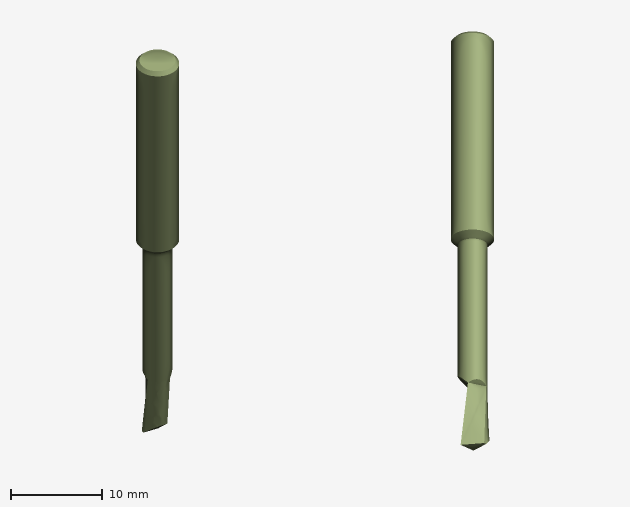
import cadquery as cq
import math

total_length = 50.8
shank_diameter = 4.8
shank_radius = shank_diameter / 2
shank_end_z = 26.1
neck_diameter = 3.3
neck_radius = neck_diameter / 2
shoulder_end_z = shank_end_z - (shank_radius - neck_radius)
top_chamfer = 0.4

head_top_z = 7.6
tip_radius = 1.95
head_twist = 25.0
flank_angle = 84.0
end_rise_x = 0.04
end_rise_y = 0.08
relief_start_x = 0.15
relief_top_z = 1.8
clearance = 1.0


def polar(radius, angle):
    """Point at a radius and an angle in degrees."""
    return (radius * math.cos(math.radians(angle)), radius * math.sin(math.radians(angle)))


def head_section(radius, turn, z):
    """Half disc, flat on its rake side, with a flat flank next to the tip."""
    tip_angle = 180 + turn
    heel_angle = tip_angle + flank_angle
    back_angle = tip_angle + 180
    middle_angle = (heel_angle + back_angle) / 2
    return (
        cq.Workplane("XY", origin=(0, 0, z))
        .moveTo(*polar(radius, tip_angle))
        .lineTo(*polar(radius, heel_angle))
        .threePointArc(polar(radius, middle_angle), polar(radius, back_angle))
        .close()
        .val()
    )


def ramp_cutter(offset, normal_angle):
    """Wedge leaving a 45 degree ramp from a head face up to the neck surface."""
    outer = neck_radius + clearance
    return (
        cq.Workplane("XZ")
        .polyline([
            (offset, head_top_z),
            (outer, head_top_z + outer - offset),
            (outer, head_top_z - clearance),
            (offset, head_top_z - clearance),
        ])
        .close()
        .extrude(outer, both=True)
        .rotate((0, 0, 0), (0, 0, 1), normal_angle)
    )


def end_cutter():
    """Solid below the sloping end face and the steeper back relief."""
    reach = tip_radius + clearance
    relief_slope = relief_top_z / (tip_radius - relief_start_x)

    def profile(y):
        rise = -end_rise_y * y
        relief_start_z = end_rise_x * (relief_start_x + tip_radius)
        points = [
            (-reach, -end_rise_x * clearance + rise),
            (relief_start_x, relief_start_z + rise),
            (reach, relief_start_z + relief_slope * (reach - relief_start_x) + rise),
            (reach, -clearance),
            (-reach, -clearance),
        ]
        return cq.Wire.makePolygon([cq.Vector(x, y, z) for x, z in points], close=True)

    return cq.Workplane(cq.Solid.makeLoft([profile(-reach), profile(reach)], True))


shank_and_neck = (
    cq.Workplane("XZ")
    .polyline([
        (0, head_top_z),
        (neck_radius, head_top_z),
        (neck_radius, shoulder_end_z),
        (shank_radius, shank_end_z),
        (shank_radius, total_length - top_chamfer),
        (shank_radius - top_chamfer, total_length),
        (0, total_length),
    ])
    .close()
    .revolve(360, (0, 0, 0), (0, 1, 0))
)

flank_offset = neck_radius * math.cos(math.radians(flank_angle / 2))
rake_ramp = ramp_cutter(0, 90 + head_twist)
flank_ramp = ramp_cutter(flank_offset, 180 + head_twist + flank_angle / 2)
shank_and_neck = shank_and_neck.cut(rake_ramp).cut(flank_ramp)

head = cq.Workplane(cq.Solid.makeLoft([
    head_section(tip_radius, 0, 0),
    head_section(neck_radius, head_twist, head_top_z),
], True))
head = head.cut(end_cutter())

result = shank_and_neck.union(head).solids()